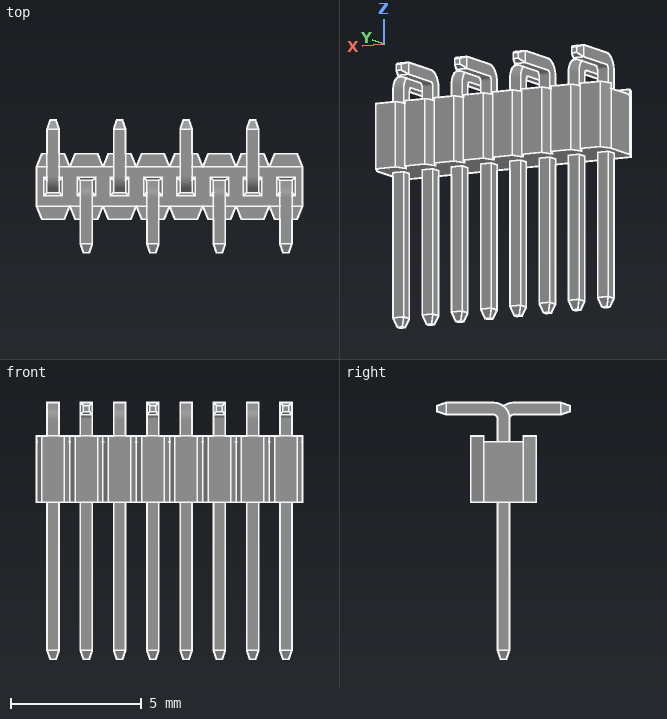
import cadquery as cq

PIN_COUNT = 8
ROW_LENGTH = 10.16
PITCH = ROW_LENGTH / PIN_COUNT

PIN_WIDTH = 0.47
TIP_WIDTH = 0.22
TIP_LENGTH = 0.36
PIN_HEIGHT = 9.81
ARM_REACH = 2.54
BEND_INNER_RADIUS = 0.15
BEND_RADIUS = BEND_INNER_RADIUS + PIN_WIDTH / 2

BODY_BOTTOM = 5.99
BODY_HEIGHT = 2.54
BODY_DEPTH = 2.51
BODY_TOP = BODY_BOTTOM + BODY_HEIGHT
CORE_DEPTH = 1.5
CHANNEL_DEPTH = 0.21
BLOCK_CHAMFER = 0.2
CORE_TOP = BODY_TOP - CHANNEL_DEPTH

RECESS_WIDTH = 0.71
RECESS_DEPTH = (RECESS_WIDTH - PIN_WIDTH) / 2


def pin_positions():
    """X positions of the pins, centred on the origin."""
    return [(index - (PIN_COUNT - 1) / 2) * PITCH for index in range(PIN_COUNT)]


def tapered_block(plane, start_width, end_width, length):
    """Square frustum growing from the plane along its normal."""
    return (
        cq.Workplane(plane)
        .rect(start_width, start_width)
        .workplane(offset=length)
        .rect(end_width, end_width)
        .loft(ruled=True)
    )


def make_body_block(x):
    """Eight-sided block around one pin."""
    half_pitch = PITCH / 2
    half_face = half_pitch - BLOCK_CHAMFER
    half_core = CORE_DEPTH / 2
    half_depth = BODY_DEPTH / 2
    outline = [
        (half_pitch, half_core),
        (half_face, half_depth),
        (-half_face, half_depth),
        (-half_pitch, half_core),
        (-half_pitch, -half_core),
        (-half_face, -half_depth),
        (half_face, -half_depth),
        (half_pitch, -half_core),
    ]
    return (
        cq.Workplane("XY", origin=(x, 0, BODY_BOTTOM))
        .polyline(outline)
        .close()
        .extrude(BODY_HEIGHT)
    )


def make_recess(x):
    """Tapered cutter that narrows to the pin below the channel floor."""
    plane = cq.Plane(origin=(x, 0, CORE_TOP), xDir=(1, 0, 0), normal=(0, 0, -1))
    return tapered_block(plane, RECESS_WIDTH, PIN_WIDTH, RECESS_DEPTH)


def make_body():
    """Row of joined blocks with a channel and pin recesses in the top."""
    body = cq.Workplane("XY")
    for x in pin_positions():
        body = body.union(make_body_block(x))
    channel = (
        cq.Workplane("XY", origin=(0, 0, CORE_TOP))
        .rect(ROW_LENGTH, CORE_DEPTH)
        .extrude(CHANNEL_DEPTH)
    )
    body = body.cut(channel)
    for x in pin_positions():
        body = body.cut(make_recess(x))
    return body


def make_pin(x, side):
    """Bent pin whose arm points along +Y (side = 1) or -Y (side = -1)."""
    arm_z = PIN_HEIGHT - PIN_WIDTH / 2
    arm_end = ARM_REACH - TIP_LENGTH
    bend_start_z = arm_z - BEND_RADIUS

    path = (
        cq.Workplane("YZ", origin=(x, 0, 0))
        .moveTo(0, TIP_LENGTH)
        .lineTo(0, bend_start_z)
        .tangentArcPoint((side * BEND_RADIUS, arm_z), relative=False)
        .lineTo(side * arm_end, arm_z)
    )
    shank = (
        cq.Workplane("XY", origin=(x, 0, TIP_LENGTH))
        .rect(PIN_WIDTH, PIN_WIDTH)
        .sweep(path)
    )

    lower_plane = cq.Plane(origin=(x, 0, TIP_LENGTH), xDir=(1, 0, 0), normal=(0, 0, -1))
    arm_plane = cq.Plane(origin=(x, side * arm_end, arm_z), xDir=(1, 0, 0), normal=(0, side, 0))
    for plane in (lower_plane, arm_plane):
        shank = shank.union(tapered_block(plane, PIN_WIDTH, TIP_WIDTH, TIP_LENGTH))
    return shank


result = make_body()
for number, pin_x in enumerate(pin_positions()):
    arm_side = 1 if number % 2 == 0 else -1
    result = result.union(make_pin(pin_x, arm_side))